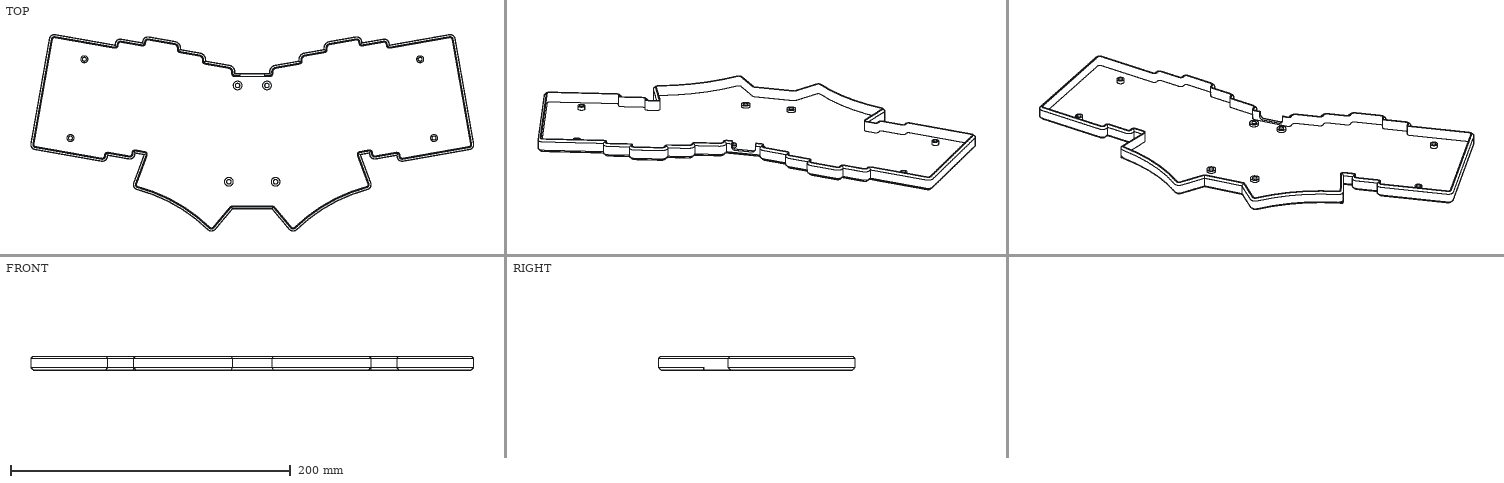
import cadquery as cq
import math

COINCIDENCE_TOLERANCE = 0.01

TRAY_HEIGHT = 10.0
FLOOR_THICKNESS = 2.5
WALL_THICKNESS = 2.2
CORNER_RADIUS = 3.7
STEP_RADIUS = 4.9
RIM_CHAMFER = 1.5
BASE_CHAMFER = 2

HAND_TILT = math.radians(10.0)
KEY_PITCH = 19.05
COLUMN_STAGGER = 5.0
KEY_MARGIN = 4.25
COLUMN_BOUNDARIES = [-103.20 + i * KEY_PITCH for i in range(4)]
OUTER_EDGE_U = -154.45
INNER_EDGE_U = -19.7
REAR_LEVELS = [44.7 + i * COLUMN_STAGGER for i in range(3)]
FRONT_LEVELS = [-38.75 + i * COLUMN_STAGGER for i in range(3)]

REAR_EDGE_Y = 42.4
FRONT_EDGE_Y = -54.4

THUMB_ARC_CENTRE = (-112.10, -152.00)
THUMB_ARC_RADIUS = 115.40
THUMB_ARC_START = math.radians(13)
THUMB_ARC_END = math.radians(46.1)
THUMB_OUTER_SIDE_TILT = math.radians(20.3)
THUMB_INNER_SIDE_TILT = math.radians(40.0)

FOOT_DEPTH = 1.8
FOOT_OVERRUN = 1.4

NOTCH_WIDTH = 17.4
NOTCH_FLOOR_Z = 3.7
NOTCH_RADIUS = 2.5

HAND_POST_U = -127.30
HAND_POST_FRONT_V = -26.2
HAND_POST_SPACING = 3 * KEY_PITCH
HAND_POST_DIAMETER = 5.0
HAND_POST_HOLE = 2.9
HAND_POST_HEIGHT = 2.4
CENTRE_POSTS = [(10.5, 33.85), (16.7, -34.95)]
CENTRE_POST_DIAMETER = 6.2
CENTRE_POST_HOLE = 3.2
CENTRE_POST_HEIGHT = 1.7


def from_hand_frame(u, v):
    """Part coordinates of a point of the left half's key frame."""
    x = u * math.cos(HAND_TILT) + v * math.sin(HAND_TILT)
    y = v * math.cos(HAND_TILT) - u * math.sin(HAND_TILT)
    return (x, y)


def mirrored(points):
    """The same points on the other half, in reverse order."""
    return [(-x, y) for x, y in reversed(points)]


def thumb_arc_point(angle):
    centre_x, centre_y = THUMB_ARC_CENTRE
    x = centre_x + THUMB_ARC_RADIUS * math.sin(angle)
    y = centre_y + THUMB_ARC_RADIUS * math.cos(angle)
    return (x, y)


def rear_step_corners():
    """Corners of the left half's rear edge where it steps down towards the middle."""
    low, middle, high = REAR_LEVELS
    third, fourth = COLUMN_BOUNDARIES[2:]
    return [
        from_hand_frame(INNER_EDGE_U, low),
        from_hand_frame(fourth + KEY_MARGIN, middle),
        from_hand_frame(third + KEY_MARGIN, high),
    ]


def key_corners():
    """Corners of the left key columns, from the middle of the rear edge round to the thumb cluster."""
    inner_edge_v = (REAR_EDGE_Y + INNER_EDGE_U * math.sin(HAND_TILT)) / math.cos(HAND_TILT)
    first, second, third, fourth = COLUMN_BOUNDARIES
    low, middle, high = REAR_LEVELS
    front_low, front_middle, front_high = FRONT_LEVELS
    corners = [
        (INNER_EDGE_U, inner_edge_v),
        (INNER_EDGE_U, low),
        (fourth + KEY_MARGIN, low),
        (fourth + KEY_MARGIN, middle),
        (third + KEY_MARGIN, middle),
        (third + KEY_MARGIN, high),
        (second - KEY_MARGIN, high),
        (second - KEY_MARGIN, middle),
        (first - KEY_MARGIN, middle),
        (first - KEY_MARGIN, low),
        (OUTER_EDGE_U, low),
        (OUTER_EDGE_U, front_low),
        (first + KEY_MARGIN, front_low),
        (first + KEY_MARGIN, front_middle),
        (second + KEY_MARGIN, front_middle),
        (second + KEY_MARGIN, front_high),
    ]
    return [from_hand_frame(u, v) for u, v in corners]


def thumb_side_top():
    """Where the outer side of the left thumb cluster meets the front of the key columns."""
    x, y = thumb_arc_point(THUMB_ARC_START)
    start_v = y * math.cos(HAND_TILT) + x * math.sin(HAND_TILT)
    rise = (FRONT_LEVELS[-1] - start_v) / math.cos(THUMB_OUTER_SIDE_TILT - HAND_TILT)
    return (x + rise * math.sin(THUMB_OUTER_SIDE_TILT), y + rise * math.cos(THUMB_OUTER_SIDE_TILT))


def front_edge_end():
    """Where the inner side of the left thumb cluster meets the middle of the front edge."""
    x, y = thumb_arc_point(THUMB_ARC_END)
    return (x + (FRONT_EDGE_Y - y) * math.tan(THUMB_INNER_SIDE_TILT), FRONT_EDGE_Y)


def outward_corners(corners):
    """Those corners of an anticlockwise polygon that point out of it."""
    found = []
    for i, (x, y) in enumerate(corners):
        last_x, last_y = corners[i - 1]
        next_x, next_y = corners[(i + 1) % len(corners)]
        turn = (x - last_x) * (next_y - y) - (y - last_y) * (next_x - x)
        if turn > 0:
            found.append((x, y))
    return found


class UprightEdges(cq.Selector):
    """Selects the vertical edges that stand on given points."""

    def __init__(self, points):
        self.points = points

    def filter(self, objects):
        return [edge for edge in objects if self.stands_on_point(edge)]

    def stands_on_point(self, edge):
        middle = edge.Center()
        distances = [math.dist((middle.x, middle.y), point) for point in self.points]
        return edge.geomType() == "LINE" and min(distances) < COINCIDENCE_TOLERANCE


def make_block():
    """Full-height solid of the outline, with its outward corners rounded."""
    before_arc = key_corners() + [thumb_side_top()]
    arc_angles = (THUMB_ARC_START, (THUMB_ARC_START + THUMB_ARC_END) / 2, THUMB_ARC_END)
    arc = [thumb_arc_point(angle) for angle in arc_angles]
    front_end = front_edge_end()
    right_arc = mirrored(arc)
    right_before_arc = mirrored(before_arc)

    outline = cq.Workplane("XY").polyline(before_arc + arc[:1]).threePointArc(*arc[1:])
    outline = outline.lineTo(*front_end).lineTo(-front_end[0], front_end[1]).lineTo(*right_arc[0])
    outline = outline.threePointArc(*right_arc[1:])
    for corner in right_before_arc:
        outline = outline.lineTo(*corner)
    block = outline.close().extrude(TRAY_HEIGHT)

    left_corners = before_arc + [arc[0], arc[-1], front_end]
    rounded = outward_corners(left_corners + mirrored(left_corners))
    step_corners = rear_step_corners()
    step_corners += mirrored(step_corners)
    plain_corners = [corner for corner in rounded if corner not in step_corners]
    block = block.edges(UprightEdges(plain_corners)).fillet(CORNER_RADIUS)
    return block.edges(UprightEdges(step_corners)).fillet(STEP_RADIUS)


def make_foot(block):
    """Strip of the block along the outer side of the left thumb cluster, as high as the base chamfer."""
    top_x, top_y = thumb_side_top()
    corner = thumb_arc_point(THUMB_ARC_START)
    length = math.dist((top_x, top_y), corner) - CORNER_RADIUS + FOOT_OVERRUN
    strip = cq.Workplane("XY").box(FOOT_DEPTH, length, BASE_CHAMFER, centered=False)
    strip = strip.translate((0, -length, 0))
    strip = strip.rotate((0, 0, 0), (0, 0, 1), -math.degrees(THUMB_OUTER_SIDE_TILT))
    return strip.translate((top_x, top_y, 0)).intersect(block)


def make_cavity(block):
    """Space inside the walls and above the floor."""
    outer_wire = block.faces("<Z").wires().val()
    inner_wire = outer_wire.offset2D(-WALL_THICKNESS, "arc")[0]
    cavity = cq.Workplane("XY").add(inner_wire).toPending().extrude(TRAY_HEIGHT)
    return cavity.translate((0, 0, FLOOR_THICKNESS))


def make_notch():
    """Cutter for the cable notch through the rear wall."""
    notch = cq.Workplane("XY").box(NOTCH_WIDTH, 4 * WALL_THICKNESS, TRAY_HEIGHT, centered=(True, True, False))
    notch = notch.edges("|Y and <Z").fillet(NOTCH_RADIUS)
    return notch.translate((0, REAR_EDGE_Y, NOTCH_FLOOR_Z))


def make_posts(points, diameter, hole, height):
    """Hollow posts on the floor, on both halves."""
    posts = cq.Workplane("XY").workplane(offset=FLOOR_THICKNESS)
    posts = posts.pushPoints(points + mirrored(points))
    return posts.circle(diameter / 2).circle(hole / 2).extrude(height)


block = make_block()
foot = make_foot(block)
tray = block.faces(">Z").chamfer(RIM_CHAMFER).faces("<Z").chamfer(BASE_CHAMFER)
tray = tray.union(foot).union(foot.mirror("YZ"))
tray = tray.cut(make_cavity(block)).cut(make_notch())

hand_post_levels = (HAND_POST_FRONT_V, HAND_POST_FRONT_V + HAND_POST_SPACING)
hand_posts = [from_hand_frame(HAND_POST_U, v) for v in hand_post_levels]
tray = tray.union(make_posts(hand_posts, HAND_POST_DIAMETER, HAND_POST_HOLE, HAND_POST_HEIGHT))
tray = tray.union(make_posts(CENTRE_POSTS, CENTRE_POST_DIAMETER, CENTRE_POST_HOLE, CENTRE_POST_HEIGHT))
result = tray